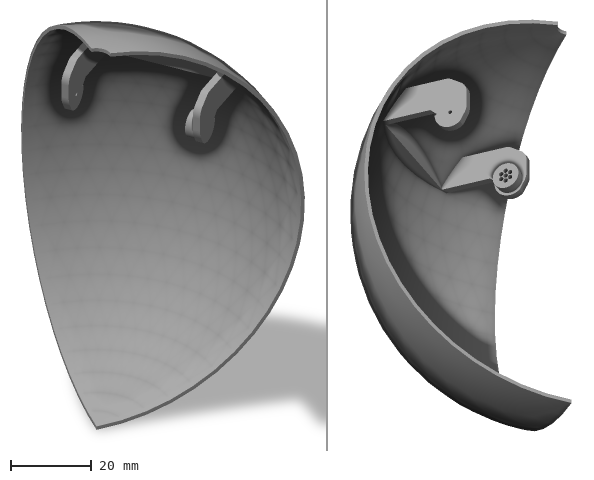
import cadquery as cq
import math

OUTER_RADIUS = 55.0
WALL = 1.0
INNER_RADIUS = OUTER_RADIUS - WALL
POLE_HOLE_DIAMETER = 7.2

PIVOT_Y = 24.5
PIVOT_Z = 25.05
PIVOT_HOLE_DIAMETER = 1.0

ARM_GAP = 34.0
ARM_THICKNESS = 2.0
HOOK_RADIUS = 4.2
ARM_FRONT_Y = 20.0
ARM_TOP_Z = 35.0
ARM_BOTTOM_Z = 27.0
TOP_CHAMFER_DEPTH = 4.85
TOP_CHAMFER_HEIGHT = 3.1
CHIN_Z = 25.0
TIP_START_ANGLE = 231.0
TIP_MIDDLE_ANGLE = 300.0
TIP_END_ANGLE = 360.0
TOP_ROUND_RADIUS = 3.0
FRONT_ROUND_RADIUS = 3.3
CHIN_ROUND_RADIUS = 4.5

NOTCH_START_Y = 29.9
NOTCH_Y = 28.1
NOTCH_Z = 25.4

BOSS_DIAMETER = 7.0
BOSS_LENGTH = 2.6
BOSS_HOLE_DIAMETER = 1.2
BOSS_HOLE_COUNT = 6
BOSS_HOLE_CIRCLE_DIAMETER = 2.8
BOSS_FIRST_HOLE_ANGLE = 30.0

WEB_FACE_Y = 43.0


def quarter_wedge():
    """Quarter of space between the planes y = x and y = -x, on the +Y side."""
    reach = 2 * OUTER_RADIUS
    return (
        cq.Workplane("XY")
        .workplane(offset=-reach)
        .polyline([(0, 0), (reach, reach), (-reach, reach)])
        .close()
        .extrude(2 * reach)
    )


def shell():
    """Quarter of a hollow ball, open at the +Z pole."""
    ball = cq.Workplane("XY").sphere(OUTER_RADIUS)
    cavity = cq.Workplane("XY").sphere(INNER_RADIUS)
    pole_hole = cq.Workplane("XY").circle(POLE_HOLE_DIAMETER / 2).extrude(OUTER_RADIUS)
    return ball.cut(cavity).intersect(quarter_wedge()).cut(pole_hole)


def trim_to_shell(body):
    """Keep what lies inside the sphere through the middle of the wall."""
    return body.intersect(cq.Workplane("XY").sphere(OUTER_RADIUS - WALL / 2))


def tip_point(angle):
    """Point (y, z) on the rounded tip, at an angle in degrees from +Y."""
    turn = math.radians(angle)
    return (PIVOT_Y + HOOK_RADIUS * math.cos(turn), PIVOT_Z + HOOK_RADIUS * math.sin(turn))


def round_corner(body, y, z, radius):
    """Fillet the edge parallel to X that passes through (y, z)."""
    reach = 0.1
    corner = cq.selectors.BoxSelector(
        (-OUTER_RADIUS, y - reach, z - reach), (OUTER_RADIUS, y + reach, z + reach)
    )
    return body.edges("|X").edges(corner).fillet(radius)


def arm(start_x):
    """Hooked plate rooted in the shell, running from start_x toward +X."""
    top_corner = (ARM_FRONT_Y + TOP_CHAMFER_DEPTH, ARM_TOP_Z)
    front_corner = (ARM_FRONT_Y, ARM_TOP_Z - TOP_CHAMFER_HEIGHT)
    chin_corner = (ARM_FRONT_Y, CHIN_Z)
    body = (
        cq.Workplane("YZ")
        .workplane(offset=start_x)
        .moveTo(OUTER_RADIUS, ARM_TOP_Z)
        .lineTo(*top_corner)
        .lineTo(*front_corner)
        .lineTo(*chin_corner)
        .lineTo(*tip_point(TIP_START_ANGLE))
        .threePointArc(tip_point(TIP_MIDDLE_ANGLE), tip_point(TIP_END_ANGLE))
        .lineTo(NOTCH_Y, NOTCH_Z)
        .lineTo(NOTCH_START_Y, ARM_BOTTOM_Z)
        .lineTo(OUTER_RADIUS, ARM_BOTTOM_Z)
        .close()
        .extrude(ARM_THICKNESS)
    )
    body = round_corner(body, *top_corner, TOP_ROUND_RADIUS)
    body = round_corner(body, *front_corner, FRONT_ROUND_RADIUS)
    body = round_corner(body, *chin_corner, CHIN_ROUND_RADIUS)
    return trim_to_shell(body)


def web():
    """Solid bridge with a flat front face and underside, reaching back to the shell."""
    depth = OUTER_RADIUS - WEB_FACE_Y
    height = OUTER_RADIUS - ARM_BOTTOM_Z
    block = cq.Workplane("XY").box(ARM_GAP, depth, height, centered=(True, False, False))
    return trim_to_shell(block.translate((0, WEB_FACE_Y, ARM_BOTTOM_Z)))


def pivot_cylinder(start_x, diameter, length):
    """Cylinder on the pivot axis, running from start_x toward +X."""
    plane = cq.Workplane("YZ", origin=(start_x, PIVOT_Y, PIVOT_Z))
    return plane.circle(diameter / 2).extrude(length)


def boss():
    """Round boss with a cluster of small holes."""
    start_x = ARM_GAP / 2 - BOSS_LENGTH
    body = pivot_cylinder(start_x, BOSS_DIAMETER, BOSS_LENGTH)
    ring = (
        cq.Workplane("YZ", origin=(start_x, PIVOT_Y, PIVOT_Z))
        .polarArray(BOSS_HOLE_CIRCLE_DIAMETER / 2, BOSS_FIRST_HOLE_ANGLE, 360, BOSS_HOLE_COUNT)
        .circle(BOSS_HOLE_DIAMETER / 2)
        .extrude(BOSS_LENGTH)
    )
    centre_hole = pivot_cylinder(start_x, BOSS_HOLE_DIAMETER, BOSS_LENGTH)
    return body.cut(ring).cut(centre_hole)


def pierced_arm(start_x):
    """Arm with the pivot hole through its thickness."""
    return arm(start_x).cut(pivot_cylinder(start_x, PIVOT_HOLE_DIAMETER, ARM_THICKNESS))


result = (
    shell()
    .union(pierced_arm(-ARM_GAP / 2 - ARM_THICKNESS))
    .union(arm(ARM_GAP / 2))
    .union(web())
    .union(boss())
)